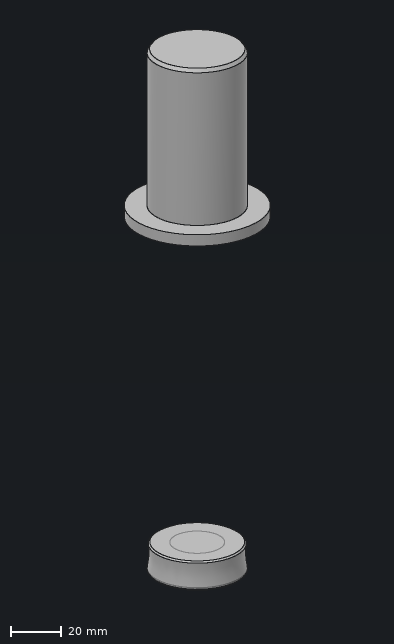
import cadquery as cq

TOTAL_HEIGHT = 227.0
BODY_DIAMETER = 40.0
BODY_RADIUS = BODY_DIAMETER / 2

FLANGE_DIAMETER = 58.0
FLANGE_THICKNESS = 5.0
PIN_LENGTH = 72.9
PIN_TIP_CHAMFER_HEIGHT = 1.5
PIN_TIP_CHAMFER_WIDTH = 1.02
PIN_BASE_Z = TOTAL_HEIGHT - PIN_LENGTH

CAP_HEIGHT = 13.0
CAP_TOP_RADIUS = 19.5
CAP_WAIST_RADIUS = 19.3
CAP_TOP_CHAMFER = 0.7
CAP_BOTTOM_CHAMFER = 0.7
BASE_CONE_HEIGHT = 0.5
CAP_RIM_HEIGHT = 1.8
DISH_FLOOR_RADIUS = 11.0
DISH_DEPTH = 0.2


def make_flanged_pin():
    """Solid round pin with a chamfered tip, standing on a flange."""
    flange = (
        cq.Workplane("XY", origin=(0, 0, PIN_BASE_Z))
        .circle(FLANGE_DIAMETER / 2)
        .extrude(FLANGE_THICKNESS)
    )
    shank = (
        cq.Workplane("XY", origin=(0, 0, PIN_BASE_Z))
        .circle(BODY_RADIUS)
        .extrude(PIN_LENGTH)
        .faces(">Z")
        .chamfer(PIN_TIP_CHAMFER_HEIGHT, PIN_TIP_CHAMFER_WIDTH)
    )
    return flange.union(shank)


def make_waisted_cap():
    """Turned cap with a hollow-curved side, a shallow dished top and a faintly conical base."""
    side_top_z = CAP_HEIGHT - CAP_TOP_CHAMFER
    waist_z = (CAP_RIM_HEIGHT + side_top_z) / 2
    return (
        cq.Workplane("XZ")
        .moveTo(0, 0)
        .lineTo(BODY_RADIUS - CAP_BOTTOM_CHAMFER, BASE_CONE_HEIGHT)
        .lineTo(BODY_RADIUS, BASE_CONE_HEIGHT + CAP_BOTTOM_CHAMFER)
        .lineTo(BODY_RADIUS, CAP_RIM_HEIGHT)
        .threePointArc((CAP_WAIST_RADIUS, waist_z), (CAP_TOP_RADIUS, side_top_z))
        .lineTo(CAP_TOP_RADIUS - CAP_TOP_CHAMFER, CAP_HEIGHT)
        .lineTo(DISH_FLOOR_RADIUS, CAP_HEIGHT - DISH_DEPTH)
        .lineTo(0, CAP_HEIGHT - DISH_DEPTH)
        .close()
        .revolve(360, (0, 0, 0), (0, 1, 0))
    )


flanged_pin = make_flanged_pin()
waisted_cap = make_waisted_cap()

result = cq.Compound.makeCompound([flanged_pin.val(), waisted_cap.val()])